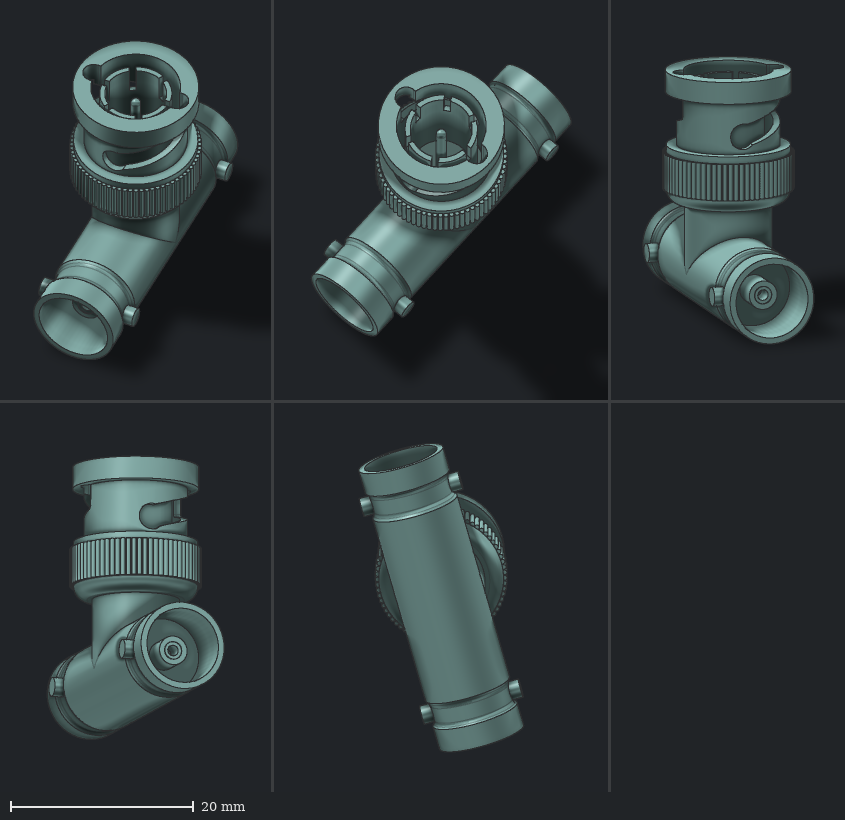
import cadquery as cq

overall_height = 27.47
cutter_clearance = 0.33

tube_length = 32.5
tube_diameter = 9.62
tube_radius = tube_diameter / 2
half_length = tube_length / 2
body_join_height = 9.43

groove_start = 2.63
groove_end = 5.65
groove_depth = 0.33
chamfer_drop = 0.2
outer_chamfer_run = 0.2
inner_chamfer_run = 0.3
groove_fillet_run = 0.42
stud_radius = 1.05
stud_span = 11.25
stud_inset = 4.13

socket_radius = 4.13
socket_depth = 6.83
post_radius = 1.6
post_inset = 3.25
contact_radius = 0.98
contact_recess = 0.1
contact_hole_radius = 0.6
contact_hole_depth = 2.6

sleeve_radius = 3.95
sleeve_bore_radius = 3.38
sleeve_top = 21.62
sleeve_slot_count = 6
sleeve_slot_width = 0.75
sleeve_slot_bottom = 18.53
pin_radius = 0.55
pin_top = 20.6

nut_bottom = 7.87
nut_top = overall_height - tube_radius
nut_bore_radius = 4.9
collar_radius = 6.83
collar_top = 14.3
collar_fillet = 1.5
barrel_radius = 5.7
lip_radius = 6.92
lip_bottom = 20.22

knurl_bottom = 9.43
knurl_top = 13.52
knurl_diameter = 14.47
ridge_count = 72
ridge_radius = 0.25

entry_radius = 1.2
entry_offset = 5.07
entry_bottom = 17.52
entry_fillet = 0.4
lock_hole_radius = 1.43
lock_hole_height = 16.25
ramp_pitch = 9.35
ramp_angle = 97.0
ramp_height = 2.55
ramp_inner_radius = 4.5
ramp_outer_radius = 6.5


def cylinder_z(radius, bottom, top):
    """Upright cylinder between two heights."""
    return cq.Workplane("XY").workplane(offset=bottom).circle(radius).extrude(top - bottom)


def cylinder_y(radius, start, depth):
    """Cylinder on the tube axis that runs inward (+Y) from start, measured from the -Y tube end."""
    return cq.Workplane("XZ", origin=(0, start - half_length, 0)).circle(radius).extrude(-depth)


def both_ends(shape):
    """A feature of the -Y tube end together with its mirror at the +Y end."""
    return shape.union(shape.mirror("XZ"))


def groove_cutter():
    """Ring that cuts the locking groove, with a chamfer and a fillet on each side."""
    floor_radius = tube_radius - groove_depth
    knee_radius = tube_radius - chamfer_drop
    start = groove_start - half_length
    end = groove_end - half_length
    start_knee = start + outer_chamfer_run
    end_knee = end - inner_chamfer_run
    clear_radius = tube_radius + cutter_clearance
    return (
        cq.Workplane("XY")
        .moveTo(clear_radius, start)
        .lineTo(tube_radius, start)
        .lineTo(knee_radius, start_knee)
        .tangentArcPoint((floor_radius, start_knee + groove_fillet_run), relative=False)
        .lineTo(floor_radius, end_knee - groove_fillet_run)
        .tangentArcPoint((knee_radius, end_knee), relative=False)
        .lineTo(tube_radius, end)
        .lineTo(clear_radius, end)
        .close()
        .revolve(360, (0, 0, 0), (0, 1, 0))
    )


def make_stud_pair():
    """Bayonet studs on opposite sides of the tube."""
    return (
        cq.Workplane("YZ", origin=(-stud_span / 2, stud_inset - half_length, 0))
        .circle(stud_radius)
        .extrude(stud_span)
    )


def socket_cutter():
    """Annular socket around a post that carries a drilled contact."""
    socket = cylinder_y(socket_radius, 0, socket_depth)
    post = cylinder_y(post_radius, post_inset, socket_depth - post_inset)
    contact_seat = cylinder_y(contact_radius, post_inset, contact_recess)
    contact_hole = cylinder_y(contact_hole_radius, post_inset, contact_hole_depth)
    return socket.cut(post).union(contact_seat).union(contact_hole)


def make_sleeve():
    """Split sleeve of the plug."""
    sleeve = cylinder_z(sleeve_radius, body_join_height, sleeve_top)
    sleeve = sleeve.cut(cylinder_z(sleeve_bore_radius, body_join_height, sleeve_top))
    slot = cq.Workplane("XY").box(
        sleeve_radius + cutter_clearance,
        sleeve_slot_width,
        sleeve_top - sleeve_slot_bottom,
        centered=(False, True, False),
    ).translate((0, 0, sleeve_slot_bottom))
    for index in range(sleeve_slot_count):
        sleeve = sleeve.cut(slot.rotate((0, 0, 0), (0, 0, 1), index * 360 / sleeve_slot_count))
    return sleeve


def make_pin():
    """Centre pin with a hemispherical tip."""
    pin = cylinder_z(pin_radius, body_join_height, pin_top - pin_radius)
    tip = cq.Workplane("XY").sphere(pin_radius).translate((0, 0, pin_top - pin_radius))
    return pin.union(tip)


def make_tee_body():
    tube = cylinder_y(tube_radius, 0, tube_length)
    tube = tube.cut(both_ends(groove_cutter()))
    tube = tube.union(both_ends(make_stud_pair()))
    tube = tube.union(cylinder_z(tube_radius, 0, body_join_height))
    tube = tube.cut(both_ends(socket_cutter()))
    return tube.union(make_sleeve()).union(make_pin())


def make_knurl():
    """Ring of round ridges that stand out of the collar."""
    return (
        cq.Workplane("XY")
        .workplane(offset=knurl_bottom)
        .polarArray(knurl_diameter / 2 - ridge_radius, 0, 360, ridge_count)
        .circle(ridge_radius)
        .extrude(knurl_top - knurl_bottom)
    )


def ramp_cutter():
    """Helical band from the locking hole at -Y up to the entry at +X."""
    ramp_rise = ramp_pitch * ramp_angle / 360
    helix = cq.Wire.makeHelix(ramp_pitch, ramp_rise, barrel_radius)
    band = (
        cq.Workplane("XZ")
        .center((ramp_inner_radius + ramp_outer_radius) / 2, 0)
        .rect(ramp_outer_radius - ramp_inner_radius, ramp_height)
        .sweep(cq.Workplane(obj=helix), isFrenet=True)
    )
    return band.rotate((0, 0, 0), (0, 0, 1), -90).translate((0, 0, lock_hole_height))


def bayonet_cutter():
    """Entry, ramp and locking hole of the slot on the +X side."""
    entry_height = nut_top - entry_bottom
    round_end = cylinder_z(entry_radius, entry_bottom, nut_top).translate((entry_offset, 0, 0))
    entry = (
        cq.Workplane("XY")
        .box(entry_offset, 2 * entry_radius, entry_height, centered=(False, True, False))
        .translate((0, 0, entry_bottom))
        .union(round_end)
        .faces("<Z")
        .edges()
        .fillet(entry_fillet)
    )
    lock_hole = (
        cq.Workplane("XZ", origin=(0, 0, lock_hole_height))
        .circle(lock_hole_radius)
        .extrude(ramp_outer_radius)
    )
    return entry.union(ramp_cutter()).union(lock_hole)


def make_coupling_nut():
    collar = cylinder_z(collar_radius, nut_bottom, collar_top).faces("<Z").edges().fillet(collar_fillet)
    nut = collar.union(make_knurl())
    nut = nut.union(cylinder_z(barrel_radius, collar_top, lip_bottom))
    nut = nut.union(cylinder_z(lip_radius, lip_bottom, nut_top))
    nut = nut.cut(cylinder_z(tube_radius, nut_bottom, body_join_height))
    nut = nut.cut(cylinder_z(nut_bore_radius, body_join_height, nut_top))
    slot = bayonet_cutter()
    nut = nut.cut(slot)
    return nut.cut(slot.rotate((0, 0, 0), (0, 0, 1), 180))


tee_body = make_tee_body()
coupling_nut = make_coupling_nut()
result = cq.Compound.makeCompound([tee_body.val(), coupling_nut.val()])